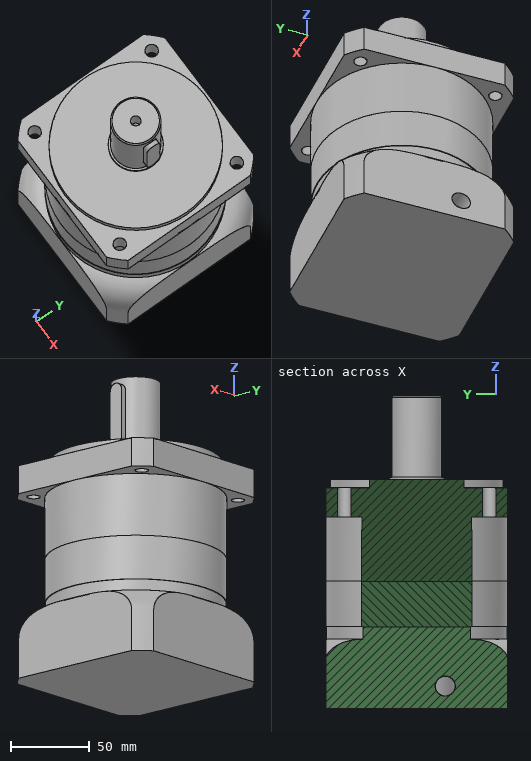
import cadquery as cq
import math

body_width = 115.5
total_height = 198.5
body_radius = body_width / 2
corner_radius = 75.0

adapter_corner_height = 26.5
adapter_top = 52.2
ring_top = 81.0
flange_bottom = 121.7
flange_top = 140.3
pilot_top = 145.5

neck_radius = 57.4
dome_round = corner_radius - neck_radius
dome_top = adapter_corner_height + dome_round
access_hole_diameter = 12.5
access_hole_y = -18.0
access_hole_z = 14.5
hub_radius = 24.5

pilot_radius = 55.0
mount_hole_diameter = 8.3
mount_hole_offset = 45.9

shaft_diameter = 32.0
shaft_chamfer = 1.0
collar_radius = 17.5
collar_height = 1.4
centre_hole_diameter = 6.5
centre_hole_depth = 15.9
centre_hole_tip_angle = 118.0

key_width = 10.0
key_length = 40.3
key_bottom = 153.5
key_outer_x = 19.0
key_inner_x = 11.1


def disc(radius, bottom, top):
    return cq.Workplane("XY").workplane(offset=bottom).circle(radius).extrude(top - bottom)


def round_cornered_block(bottom, top):
    """Square block whose four corners lie on the round envelope."""
    square = cq.Workplane("XY").workplane(offset=bottom).rect(body_width, body_width).extrude(top - bottom)
    return square.intersect(disc(corner_radius, bottom, top))


def make_adapter():
    """Square motor adapter with domed corners, a round neck and a side access hole."""
    turned_profile = (
        cq.Workplane("XZ")
        .lineTo(corner_radius, 0)
        .lineTo(corner_radius, adapter_corner_height)
        .radiusArc((neck_radius, dome_top), -dome_round)
        .lineTo(neck_radius, adapter_top)
        .lineTo(0, adapter_top)
        .close()
        .revolve(360, (0, 0), (0, 1))
    )
    square = cq.Workplane("XY").rect(body_width, body_width).extrude(adapter_top)
    access_hole = (
        cq.Workplane("YZ")
        .workplane(offset=-body_radius)
        .center(access_hole_y, access_hole_z)
        .circle(access_hole_diameter / 2)
        .extrude(body_radius)
        .cut(disc(hub_radius, 0, adapter_top))
    )
    return square.intersect(turned_profile).cut(access_hole)


def make_ring():
    return disc(body_radius, adapter_top, ring_top)


def make_shaft_blank():
    """Plain chamfered shaft with the collar at its foot."""
    shaft = disc(shaft_diameter / 2, pilot_top, total_height).faces(">Z").edges().chamfer(shaft_chamfer)
    return shaft.union(disc(collar_radius, pilot_top, pilot_top + collar_height))


def make_output_housing():
    """Round body with the square mounting flange and the pilot disc."""
    body = disc(body_radius, ring_top, flange_bottom)
    flange = round_cornered_block(flange_bottom, flange_top)
    pilot = disc(pilot_radius, flange_top, pilot_top)
    mount_holes = (
        cq.Workplane("XY")
        .workplane(offset=flange_bottom)
        .rect(2 * mount_hole_offset, 2 * mount_hole_offset, forConstruction=True)
        .vertices()
        .circle(mount_hole_diameter / 2)
        .extrude(flange_top - flange_bottom)
    )
    return body.union(flange.cut(mount_holes)).union(pilot)


def make_key():
    """Round-ended key lying along the shaft on the +X side."""
    return (
        cq.Workplane("YZ")
        .workplane(offset=key_inner_x)
        .center(0, key_bottom + key_length / 2)
        .slot2D(key_length, key_width, 90)
        .extrude(key_outer_x - key_inner_x)
    )


def make_centre_hole():
    """Drilled hole with a conical drill point, down the axis from the shaft end."""
    hole_radius = centre_hole_diameter / 2
    tip_depth = hole_radius / math.tan(math.radians(centre_hole_tip_angle / 2))
    floor = total_height - centre_hole_depth
    half_section = (
        cq.Workplane("XZ")
        .moveTo(0, floor - tip_depth)
        .lineTo(hole_radius, floor)
        .lineTo(hole_radius, total_height)
        .lineTo(0, total_height)
        .close()
    )
    return half_section.revolve(360, (0, 0), (0, 1))


def make_shaft(key):
    """Output shaft with the centre hole and a keyway that fits the key."""
    return make_shaft_blank().cut(make_centre_hole()).cut(key)


adapter = make_adapter()
ring = make_ring()
output_housing = make_output_housing()
key = make_key()
shaft = make_shaft(key)

result = cq.Compound.makeCompound(
    [adapter.val(), ring.val(), output_housing.val(), shaft.val(), key.val()]
)